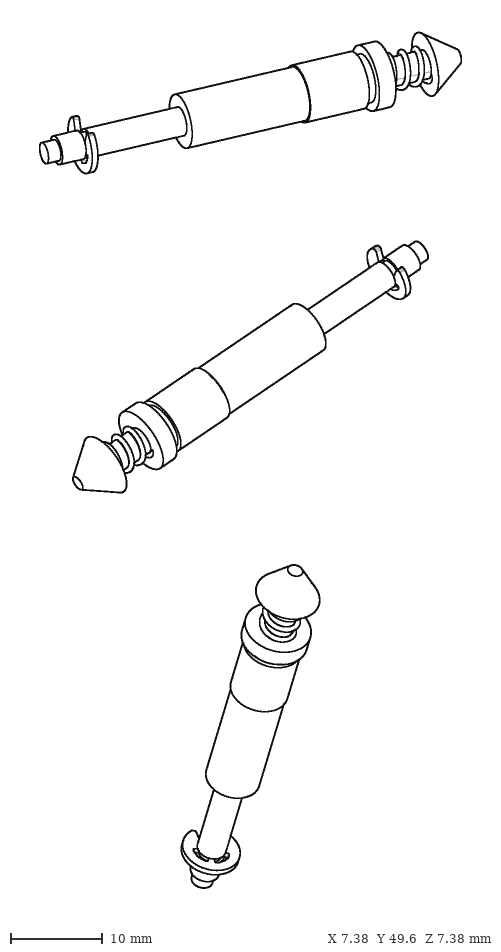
import cadquery as cq
import math


FRONT_RADIUS = 3.0
FRONT_LENGTH = 14.05
REAR_RADIUS = 3.2
REAR_LENGTH = 7.05
NECK_RADIUS = 2.7
NECK_LENGTH = 1.0
FLANGE_RADIUS = 3.69
FLANGE_LENGTH = 2.0
SLEEVE_LENGTH = FRONT_LENGTH + REAR_LENGTH + NECK_LENGTH + FLANGE_LENGTH

SHAFT_RADIUS = 1.61
SHAFT_REACH = 14.85
TIP_RADIUS = 1.2
TIP_LENGTH = 1.5
HEAD_GAP = 5.15
HEAD_RADIUS = 3.55
HEAD_END_RADIUS = 0.85
HEAD_LENGTH = 3.95
HEAD_START = SLEEVE_LENGTH + HEAD_GAP

WIRE_RADIUS = 0.3
COIL_RADIUS = 1.9
COIL_PITCH = 1.65
COIL_PHASE = 0.55
COIL_TURNS = 6

CLIP_RADIUS = 3.2
CLIP_THICKNESS = 0.7
CLIP_BACK = -11.35
GROOVE_RADIUS = 1.3
GROOVE_CLEARANCE = 0.1
MOUTH_INNER_HALF = 1.25
MOUTH_OUTER_HALF = 1.75
MOUTH_INNER_Z = 0.9
HORN_Z = 2.4
HORN_FILLET = 0.2
RELIEF_RADIUS = 2.1
RELIEF_FILLET = 0.2
RELIEF_START = 10
RELIEF_END = 78


def cylinder(radius, start, length):
    """Cylinder on the Y axis, from start toward +Y."""
    return cq.Workplane("XZ", origin=(0, start, 0)).circle(radius).extrude(-length)


def make_sleeve():
    rear_end = FRONT_LENGTH + REAR_LENGTH
    neck_end = rear_end + NECK_LENGTH
    outline = [
        (SHAFT_RADIUS, 0),
        (FRONT_RADIUS, 0),
        (FRONT_RADIUS, FRONT_LENGTH),
        (REAR_RADIUS, FRONT_LENGTH),
        (REAR_RADIUS, rear_end),
        (NECK_RADIUS, rear_end),
        (NECK_RADIUS, neck_end),
        (FLANGE_RADIUS, neck_end),
        (FLANGE_RADIUS, SLEEVE_LENGTH),
        (SHAFT_RADIUS, SLEEVE_LENGTH),
    ]
    return cq.Workplane("XY").polyline(outline).close().revolve(360, (0, 0), (0, 1))


def make_pin():
    """Shaft with front tip, clip groove and cone head."""
    groove_front = CLIP_BACK - CLIP_THICKNESS
    groove_back = CLIP_BACK + GROOVE_CLEARANCE
    outline = [
        (0, -SHAFT_REACH - TIP_LENGTH),
        (TIP_RADIUS, -SHAFT_REACH - TIP_LENGTH),
        (TIP_RADIUS, -SHAFT_REACH),
        (SHAFT_RADIUS, -SHAFT_REACH),
        (SHAFT_RADIUS, groove_front),
        (GROOVE_RADIUS, groove_front),
        (GROOVE_RADIUS, groove_back),
        (SHAFT_RADIUS, groove_back),
        (SHAFT_RADIUS, HEAD_START),
        (HEAD_RADIUS, HEAD_START),
        (HEAD_END_RADIUS, HEAD_START + HEAD_LENGTH),
        (0, HEAD_START + HEAD_LENGTH),
    ]
    return cq.Workplane("XY").polyline(outline).close().revolve(360, (0, 0), (0, 1))


def make_coil():
    """Left-handed coil around the shaft, trimmed flat at the flange and at the head."""
    path = cq.Wire.makeHelix(COIL_PITCH, COIL_PITCH * COIL_TURNS, COIL_RADIUS, lefthand=True)
    wire = (
        cq.Workplane("XZ", origin=(COIL_RADIUS, 0, 0))
        .circle(WIRE_RADIUS)
        .sweep(cq.Workplane(obj=path), isFrenet=True)
        .rotate((0, 0, 0), (1, 0, 0), -90)
        .translate((0, SLEEVE_LENGTH + COIL_PHASE - COIL_PITCH, 0))
    )
    return wire.intersect(cylinder(HEAD_RADIUS, SLEEVE_LENGTH, HEAD_GAP))


def make_relief(side):
    """Curved relief window below the shaft; side is +1 for +X and -1 for -X."""

    def polar(radius, degrees):
        angle = math.radians(degrees)
        return (side * radius * math.cos(angle), -radius * math.sin(angle))

    def is_outer_corner(edge):
        return math.hypot(edge.Center().x, edge.Center().z) > SHAFT_RADIUS

    middle = (RELIEF_START + RELIEF_END) / 2
    window = (
        cq.Workplane("XZ", origin=(0, CLIP_BACK, 0))
        .moveTo(*polar(GROOVE_RADIUS, RELIEF_START))
        .lineTo(*polar(RELIEF_RADIUS, RELIEF_START))
        .threePointArc(polar(RELIEF_RADIUS, middle), polar(RELIEF_RADIUS, RELIEF_END))
        .lineTo(*polar(GROOVE_RADIUS, RELIEF_END))
        .threePointArc(polar(GROOVE_RADIUS, middle), polar(GROOVE_RADIUS, RELIEF_START))
        .close()
        .extrude(CLIP_THICKNESS)
    )
    return window.edges("|Y").filter(is_outer_corner).fillet(RELIEF_FILLET)


def make_clip():
    """E-clip that opens toward +Z."""

    def is_horn_corner(edge):
        return edge.Center().z > HORN_Z - HORN_FILLET

    clip_front = CLIP_BACK - CLIP_THICKNESS
    disc = cylinder(CLIP_RADIUS, clip_front, CLIP_THICKNESS)
    bore = cylinder(GROOVE_RADIUS, clip_front, CLIP_THICKNESS)
    mouth = (
        cq.Workplane("XZ", origin=(0, CLIP_BACK, 0))
        .polyline([
            (-GROOVE_RADIUS, 0),
            (-MOUTH_INNER_HALF, MOUTH_INNER_Z),
            (-MOUTH_OUTER_HALF, HORN_Z),
            (-CLIP_RADIUS, HORN_Z),
            (-CLIP_RADIUS, CLIP_RADIUS),
            (CLIP_RADIUS, CLIP_RADIUS),
            (CLIP_RADIUS, HORN_Z),
            (MOUTH_OUTER_HALF, HORN_Z),
            (MOUTH_INNER_HALF, MOUTH_INNER_Z),
            (GROOVE_RADIUS, 0),
        ])
        .close()
        .extrude(CLIP_THICKNESS)
    )
    clip = disc.cut(bore).cut(mouth)
    for side in (-1, 1):
        clip = clip.cut(make_relief(side))
    return clip.edges("|Y").filter(is_horn_corner).fillet(HORN_FILLET)


def make_plunger():
    return make_pin().union(make_coil()).union(make_clip())


sleeve = make_sleeve()
plunger = make_plunger()
result = cq.Compound.makeCompound([sleeve.val(), *plunger.vals()])